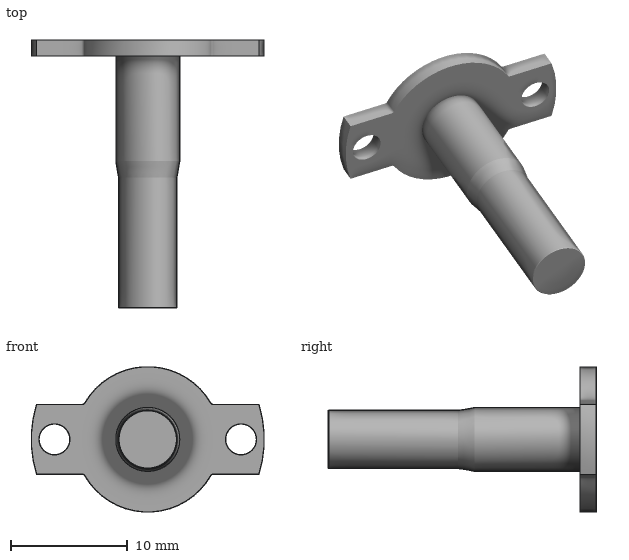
import cadquery as cq

plate_thickness = 1.4
disc_diameter = 12.5
ear_span = 20.0
ear_width = 6.0
corner_fillet = 0.25
hole_diameter = 2.62
hole_spacing = 16.0

total_length = 23.0
shoulder_diameter = 5.5
pin_diameter = 5.01
shoulder_end = 10.42
taper_end = 11.82
tip_chamfer = 0.05


def plate_cylinder(diameter):
    """Cylinder about the pin axis, as thick as the plate."""
    return cq.Workplane("XZ").circle(diameter / 2).extrude(plate_thickness)


def make_plate():
    """Disc and ears, with the ear ends rounded about the pin axis."""
    disc = plate_cylinder(disc_diameter)
    bar = cq.Workplane("XZ").rect(ear_span, ear_width).extrude(plate_thickness)
    ears = bar.intersect(plate_cylinder(ear_span))
    return disc.union(ears)


def fillet_inner_corners(plate):
    """Round the four corners where the ears meet the disc."""
    reach = disc_diameter / 2
    corners = cq.selectors.BoxSelector(
        (-reach, -plate_thickness, -reach),
        (reach, 0, reach),
    )
    return plate.edges("|Y").edges(corners).fillet(corner_fillet)


def cut_mounting_holes(plate):
    """One through hole in each ear."""
    centres = [(-hole_spacing / 2, 0), (hole_spacing / 2, 0)]
    holes = (
        cq.Workplane("XZ")
        .pushPoints(centres)
        .circle(hole_diameter / 2)
        .extrude(plate_thickness)
    )
    return plate.cut(holes)


def make_pin():
    """Shoulder, taper and pin revolved about Y, with a chamfered tip."""
    shoulder_radius = shoulder_diameter / 2
    pin_radius = pin_diameter / 2
    profile = (
        cq.Workplane("XY")
        .lineTo(shoulder_radius, 0)
        .lineTo(shoulder_radius, -shoulder_end)
        .lineTo(pin_radius, -taper_end)
        .lineTo(pin_radius, -total_length + tip_chamfer)
        .lineTo(pin_radius - tip_chamfer, -total_length)
        .lineTo(0, -total_length)
        .close()
    )
    return profile.revolve(360, (0, 0, 0), (0, 1, 0))


plate = make_plate()
plate = fillet_inner_corners(plate)
plate = cut_mounting_holes(plate)
result = plate.union(make_pin())